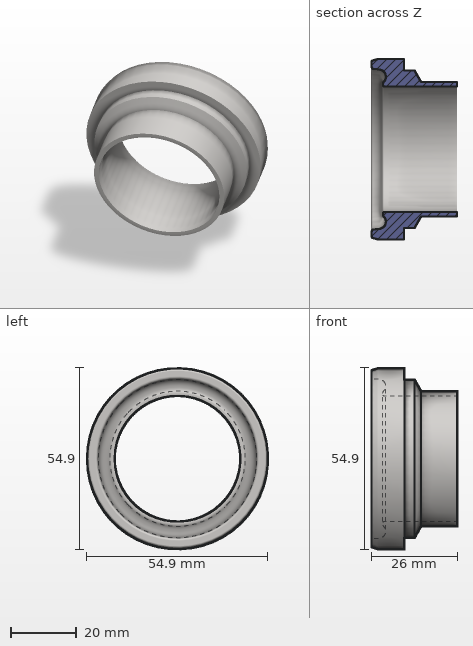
import cadquery as cq
import math

length = 26.0
flange_radius = 54.9 / 2
shoulder_radius = 48.0 / 2
tube_radius = 41.0 / 2
bore_radius = 38.0 / 2

front_taper_end = 2.0
flange_back = 9.95
shoulder_back = 13.05
tube_start = 15.05

rim_outer_radius = 26.95
rim_round_depth = 0.35
face_outer_radius = 26.55
mouth_round = 0.65
recess_radius = 24.25
face_inner_radius = recess_radius + mouth_round

lip_front = 3.4
nose_outer_radius = 19.8
lip_outer_round = 1.05
lip_inner_round = 0.5
nose_inner_radius = bore_radius + lip_inner_round
lip_side_angle = math.radians(50)

groove_bottom_depth = 4.3
groove_bottom_radius = 21.95


def arc_point(center, radius, angle):
    """Point on a circle; the angle turns from the front direction (-X) towards the outside."""
    return (center[0] - radius * math.cos(angle), center[1] + radius * math.sin(angle))


def add_arc(profile, center, radius, start_angle, end_angle):
    """Continue the profile along an arc between two angles."""
    middle = arc_point(center, radius, (start_angle + end_angle) / 2)
    return profile.threePointArc(middle, arc_point(center, radius, end_angle))


def add_outside(profile):
    """Stepped outside, from the bore at the back end round to the front face."""
    return (
        profile.moveTo(length, bore_radius)
        .lineTo(length, tube_radius)
        .lineTo(tube_start, tube_radius)
        .lineTo(shoulder_back, shoulder_radius)
        .lineTo(flange_back, shoulder_radius)
        .lineTo(flange_back, flange_radius)
        .lineTo(front_taper_end, flange_radius)
        .lineTo(rim_round_depth, rim_outer_radius)
        .tangentArcPoint((0, face_outer_radius), relative=False)
        .lineTo(0, face_inner_radius)
    )


def add_groove(profile):
    """Rounded mouth, then a smooth groove that ends tangent to the lip nose."""
    mouth_center = (mouth_round, face_inner_radius)
    profile = add_arc(profile, mouth_center, mouth_round, 0, -math.pi / 2)
    nose_center = (lip_front + lip_outer_round, nose_outer_radius)
    groove_bottom = (groove_bottom_depth, groove_bottom_radius)
    lip_edge = arc_point(nose_center, lip_outer_round, lip_side_angle)
    lip_tangent = (-math.sin(lip_side_angle), -math.cos(lip_side_angle))
    return profile.spline(
        [groove_bottom, lip_edge],
        tangents=[(1, 0), None, lip_tangent],
        includeCurrent=True,
    )


def add_lip(profile):
    """Lip nose, rounded down to the bore."""
    outer_center = (lip_front + lip_outer_round, nose_outer_radius)
    profile = add_arc(profile, outer_center, lip_outer_round, lip_side_angle, 0)
    profile = profile.lineTo(lip_front, nose_inner_radius)
    inner_center = (lip_front + lip_inner_round, nose_inner_radius)
    return add_arc(profile, inner_center, lip_inner_round, 0, -math.pi / 2)


profile = add_lip(add_groove(add_outside(cq.Workplane("XY"))))
result = profile.close().revolve(360, (0, 0, 0), (1, 0, 0))